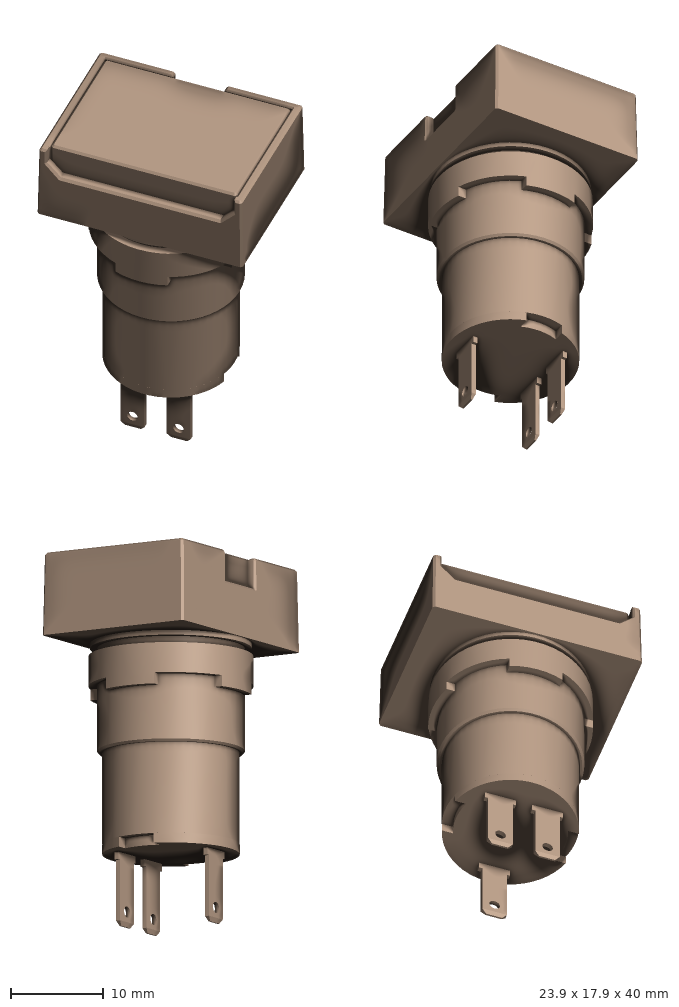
import cadquery as cq
import math

TOP_Z = 40.0
BEZEL_BOTTOM_Z = 30.95
BEZEL_LENGTH = 23.9
BEZEL_WIDTH = 17.9
BEZEL_DRAFT = 1.0
BEZEL_HEIGHT = TOP_Z - BEZEL_BOTTOM_Z
EDGE_CHAMFER = 0.25
CORNER_CHAMFER = 0.25
RIM_INSET = BEZEL_HEIGHT * math.tan(math.radians(BEZEL_DRAFT))
RIM_HALF_WIDTH = BEZEL_WIDTH / 2 - RIM_INSET

LENS_LENGTH = 21.6
LENS_WIDTH = 15.55
LENS_GAP = 0.1
RECESS_LENGTH = LENS_LENGTH + 2 * LENS_GAP
RECESS_WIDTH = LENS_WIDTH + 2 * LENS_GAP
RECESS_FLOOR_Z = 36.65
RECESS_BEVEL = 0.2

OPENING_BEVEL = 0.2
NOTCH_HALF_LENGTH = RECESS_LENGTH / 2
NOTCH_CORNER = 1.6
SLOT_HALF_LENGTH = 2.95
SLOT_TOP_BEVEL = 0.3
OVERCUT = 1.2

FLANGE_RADIUS = 8.7
FLANGE_BOTTOM_Z = 30.45
BARREL_RADIUS = 7.95
BARREL_BOTTOM_Z = 19.0
CASE_RADIUS = 7.4
CASE_BOTTOM_Z = 9.05

RING_RADIUS = 8.9
RING_TOP_Z = 29.6
RING_BOTTOM_Z = 25.1
TOOTH_WIDTH = 6.05
TOOTH_HEIGHT = 1.2

BASE_BOTTOM_Z = 7.95
BASE_HEIGHT = CASE_BOTTOM_Z - BASE_BOTTOM_Z
BASE_NOTCH_WIDTH = 4.4
BASE_NOTCH_RADIUS = 6.2

TERMINAL_WIDTH = 2.8
TERMINAL_THICKNESS = 0.5
SHOULDER_WIDTH = 3.5
SHOULDER_Z = 7.15
TIP_HEIGHT = 0.5
TIP_CORNER = 0.5
TIP_BEVEL = 0.15
HOLE_DIAMETER = 1.2
HOLE_Z = 1.65
FRONT_ROW_X = 2.7
FRONT_ROW_Y = -4.15
BACK_ROW_Y = 5.45
TERMINAL_PLACES = [(-FRONT_ROW_X, FRONT_ROW_Y), (FRONT_ROW_X, FRONT_ROW_Y), (0, BACK_ROW_Y)]


def cylinder(radius, bottom_z, top_z):
    return cq.Workplane("XY").workplane(offset=bottom_z).circle(radius).extrude(top_z - bottom_z)


def wall_opening(outline, side):
    """Cutter through one long wall of the bezel, flared at the outer face.

    outline is a list of (x, z) points; side is -1 for the front wall and 1 for the back wall.
    """
    flare_start = RIM_HALF_WIDTH - OPENING_BEVEL
    inward_depth = flare_start - RECESS_WIDTH / 2
    plane = cq.Plane(origin=(0, side * flare_start, 0), xDir=(-side, 0, 0), normal=(0, side, 0))
    inward = cq.Workplane(plane).polyline(outline).close().extrude(-inward_depth)
    flare = cq.Workplane(plane).polyline(outline).close().extrude(OVERCUT, taper=-45)
    return inward.union(flare)


def front_notch():
    top = TOP_Z + OVERCUT
    floor_half_length = NOTCH_HALF_LENGTH - NOTCH_CORNER
    return wall_opening([
        (-NOTCH_HALF_LENGTH, top),
        (-NOTCH_HALF_LENGTH, RECESS_FLOOR_Z + NOTCH_CORNER),
        (-floor_half_length, RECESS_FLOOR_Z),
        (floor_half_length, RECESS_FLOOR_Z),
        (NOTCH_HALF_LENGTH, RECESS_FLOOR_Z + NOTCH_CORNER),
        (NOTCH_HALF_LENGTH, top),
    ], -1)


def back_slot():
    bevel_z = TOP_Z - SLOT_TOP_BEVEL
    top = TOP_Z + OVERCUT
    top_half_length = SLOT_HALF_LENGTH + top - bevel_z
    return wall_opening([
        (-top_half_length, top),
        (-SLOT_HALF_LENGTH, bevel_z),
        (-SLOT_HALF_LENGTH, RECESS_FLOOR_Z),
        (SLOT_HALF_LENGTH, RECESS_FLOOR_Z),
        (SLOT_HALF_LENGTH, bevel_z),
        (top_half_length, top),
    ], 1)


def make_bezel():
    bezel = (
        cq.Workplane("XY").workplane(offset=BEZEL_BOTTOM_Z)
        .rect(BEZEL_LENGTH, BEZEL_WIDTH)
        .extrude(BEZEL_HEIGHT, taper=BEZEL_DRAFT)
    )
    bezel = bezel.edges("not(#Z)").chamfer(CORNER_CHAMFER)
    bezel = bezel.faces(">Z").edges().chamfer(EDGE_CHAMFER)
    recess = (
        cq.Workplane("XY").workplane(offset=RECESS_FLOOR_Z)
        .rect(RECESS_LENGTH, RECESS_WIDTH)
        .extrude(TOP_Z - RECESS_FLOOR_Z)
    )
    recess_bevel = (
        cq.Workplane("XY").workplane(offset=TOP_Z - RECESS_BEVEL)
        .rect(RECESS_LENGTH, RECESS_WIDTH)
        .extrude(RECESS_BEVEL, taper=-45)
    )
    return bezel.cut(recess).cut(recess_bevel).cut(front_notch()).cut(back_slot())


def make_housing():
    flange = cylinder(FLANGE_RADIUS, FLANGE_BOTTOM_Z, BEZEL_BOTTOM_Z)
    barrel = cylinder(BARREL_RADIUS, BARREL_BOTTOM_Z, FLANGE_BOTTOM_Z)
    barrel = barrel.faces("<Z").edges().chamfer(EDGE_CHAMFER)
    case = cylinder(CASE_RADIUS, CASE_BOTTOM_Z, BARREL_BOTTOM_Z)
    return make_bezel().union(flange).union(barrel).union(case)


def make_lens():
    lens = (
        cq.Workplane("XY").workplane(offset=RECESS_FLOOR_Z)
        .rect(LENS_LENGTH, LENS_WIDTH)
        .extrude(TOP_Z - RECESS_FLOOR_Z)
    )
    lens = lens.edges("|Z").chamfer(EDGE_CHAMFER)
    return lens.faces(">Z").edges().chamfer(EDGE_CHAMFER)


def make_locking_ring():
    ring = cylinder(RING_RADIUS, RING_BOTTOM_Z + TOOTH_HEIGHT, RING_TOP_Z)
    tooth_plane = cq.Workplane("XY").workplane(offset=RING_BOTTOM_Z)
    teeth = (
        tooth_plane.rect(2 * RING_RADIUS, TOOTH_WIDTH).extrude(TOOTH_HEIGHT)
        .union(tooth_plane.rect(TOOTH_WIDTH, 2 * RING_RADIUS).extrude(TOOTH_HEIGHT))
        .intersect(cylinder(RING_RADIUS, RING_BOTTOM_Z, RING_TOP_Z))
    )
    return ring.union(teeth).cut(cylinder(BARREL_RADIUS, RING_BOTTOM_Z, RING_TOP_Z))


def make_terminal(x, y):
    half_thickness = TERMINAL_THICKNESS / 2
    half_width = TERMINAL_WIDTH / 2
    half_shoulder = SHOULDER_WIDTH / 2
    half_tip = half_width - TIP_CORNER
    plane = cq.Plane(origin=(x, y, 0), xDir=(1, 0, 0), normal=(0, -1, 0))
    blade = cq.Workplane(plane).polyline([
        (-half_shoulder, BASE_BOTTOM_Z),
        (-half_shoulder, SHOULDER_Z),
        (-half_width, SHOULDER_Z),
        (-half_width, TIP_HEIGHT),
        (-half_tip, 0),
        (half_tip, 0),
        (half_width, TIP_HEIGHT),
        (half_width, SHOULDER_Z),
        (half_shoulder, SHOULDER_Z),
        (half_shoulder, BASE_BOTTOM_Z),
    ]).close().extrude(half_thickness, both=True)
    side_plane = cq.Plane(origin=(x, y, 0), xDir=(0, 1, 0), normal=(1, 0, 0))
    side_section = cq.Workplane(side_plane).polyline([
        (-half_thickness, BASE_BOTTOM_Z),
        (-half_thickness, TIP_HEIGHT),
        (-half_thickness + TIP_BEVEL, 0),
        (half_thickness - TIP_BEVEL, 0),
        (half_thickness, TIP_HEIGHT),
        (half_thickness, BASE_BOTTOM_Z),
    ]).close().extrude(SHOULDER_WIDTH, both=True)
    hole = (
        cq.Workplane(plane).center(0, HOLE_Z)
        .circle(HOLE_DIAMETER / 2)
        .extrude(TERMINAL_THICKNESS, both=True)
    )
    return blade.intersect(side_section).cut(hole)


def make_terminal_base():
    base = cylinder(CASE_RADIUS, BASE_BOTTOM_Z, CASE_BOTTOM_Z)
    notches = (
        cq.Workplane("XY").workplane(offset=BASE_BOTTOM_Z)
        .rect(2 * CASE_RADIUS, BASE_NOTCH_WIDTH)
        .extrude(BASE_HEIGHT)
        .cut(cylinder(BASE_NOTCH_RADIUS, BASE_BOTTOM_Z, CASE_BOTTOM_Z))
    )
    base = base.cut(notches)
    for x, y in TERMINAL_PLACES:
        base = base.union(make_terminal(x, y))
    return base


housing = make_housing()
lens = make_lens()
locking_ring = make_locking_ring()
terminal_base = make_terminal_base()

result = cq.Compound.makeCompound([
    housing.val(),
    lens.val(),
    locking_ring.val(),
    terminal_base.val(),
])